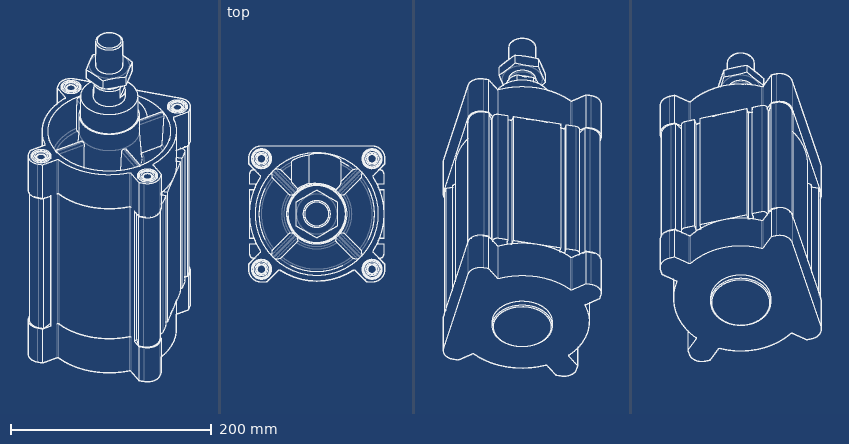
import cadquery as cq
import math

boss_length = 6.5
cap_height = 44.5
barrel_length = 170.0
rear_cap_bottom = boss_length
barrel_bottom = rear_cap_bottom + cap_height
front_cap_bottom = barrel_bottom + barrel_length
front_cap_top = front_cap_bottom + cap_height
collar_step_z = 287.2
collar_top = 312.0
flats_bottom = 320.0
shoulder_z = 331.5
neck_taper_bottom = 333.5
thread_start = 337.3
nut_bottom = 339.5
nut_height = 12.7
rod_tip = 385.0

cap_shell_radius = 67.0
barrel_shell_radius = 66.5
shell_corner_fillet = 1.0
cap_width = 136.0
barrel_width = 134.0
cap_half_width = cap_width / 2
barrel_half_width = barrel_width / 2
screw_offset = 55.0
lobe_radius = cap_half_width - screw_offset
lobe_diagonal_offset = 18.0
flange_depth = 17.5

groove_mouth_outer = 49.3
groove_tip = (44.5, 57.8)
groove_mouth_inner = 43.0

rail_face_x = 67.0
rail_half_width = 44.3
rail_corner_radius = 4.5
slot_inner_y = 24.3
slot_outer_y = 29.5
slot_floor_x = 61.2

recess_rim_radius = 61.2
recess_depth = 38.5
rim_draft = math.radians(6)
collar_draft = math.radians(4)
recess_fillet = 2.5
collar_radius = 30.0
rib_drop = 1.0
rib_top_half = 2.7
rib_base_half = 5.8
rib_crest_fillet = 2.5
collar_tip_base_radius = 29.0
collar_tip_top_radius = 28.5
boss_chamfer = 1.0

port_bosses = [(8.0, 244.0, 32.0), (-12.7, 235.0, 25.0)]

screw_recess_diameter = 20.0
screw_head_diameter = 18.5
screw_head_chamfer = 1.0
screw_recess_depth = 3.0
countersink_top_diameter = 12.7
countersink_bottom_diameter = 10.0
countersink_depth = 1.35
screw_hole_diameter = 8.5
screw_hole_depth = 15.5

rod_diameter = 32.0
thread_diameter = 27.0
neck_diameter = 25.0
rod_flats = 27.0
tip_chamfer = 1.5
nut_flats = 41.2
nut_chamfer_radius = 20.0
nut_chamfer_angle = math.radians(15)

quadrants = [(sx, sy) for sx in (-1, 1) for sy in (-1, 1)]


def disc(radius, bottom, top):
    return cq.Workplane("XY").workplane(offset=bottom).circle(radius).extrude(top - bottom)


def cone(bottom_radius, top_radius, bottom, top):
    """Truncated cone on the Z axis."""
    return cq.Workplane("XY").add(
        cq.Solid.makeCone(bottom_radius, top_radius, top - bottom, cq.Vector(0, 0, bottom))
    )


def is_near_axis(edge, radius):
    """True for an upright edge that lies on the shell radius or closer to the Z axis."""
    center = edge.Center()
    return math.hypot(center.x, center.y) < radius + shell_corner_fillet


def lobed_section(half_width, shell_radius, bottom, top):
    """Round shell with four diagonal lobes whose ends follow a rounded square."""
    height = top - bottom
    band_width = math.sqrt(2) * lobe_diagonal_offset
    level = cq.Workplane("XY").workplane(offset=bottom)
    bands = level.transformed(rotate=(0, 0, 45)).rect(4 * half_width, band_width).extrude(height)
    bands = bands.union(bands.rotate((0, 0, 0), (0, 0, 1), 90))
    square = level.rect(2 * half_width, 2 * half_width).extrude(height).edges("|Z").fillet(lobe_radius)
    section = bands.intersect(square).union(disc(shell_radius, bottom, top))
    shell_corners = section.edges("|Z").filter(lambda edge: is_near_axis(edge, shell_radius))
    return shell_corners.fillet(shell_corner_fillet)


def make_barrel():
    bottom, top = barrel_bottom, front_cap_bottom
    level = cq.Workplane("XY").workplane(offset=bottom)
    barrel = lobed_section(barrel_half_width, barrel_shell_radius, bottom, top)

    groove = [
        (groove_mouth_outer, groove_mouth_outer + lobe_diagonal_offset),
        groove_tip,
        (groove_mouth_inner, groove_mouth_inner + lobe_diagonal_offset),
    ]
    for sx, sy in quadrants:
        beside_y = [(sx * u, sy * v) for u, v in groove]
        beside_x = [(sx * v, sy * u) for u, v in groove]
        barrel = barrel.cut(level.polyline(beside_y).close().extrude(barrel_length))
        barrel = barrel.cut(level.polyline(beside_x).close().extrude(barrel_length))

    rails = level.rect(2 * rail_face_x, 2 * rail_half_width).extrude(barrel_length)
    barrel = barrel.union(rails.edges("|Z").fillet(rail_corner_radius))

    slot_depth = rail_face_x - slot_floor_x
    slot_width = slot_outer_y - slot_inner_y
    slot_x = slot_floor_x + slot_depth / 2
    slot_y = slot_inner_y + slot_width / 2
    slot_centers = [(sx * slot_x, sy * slot_y) for sx, sy in quadrants]
    slots = level.pushPoints(slot_centers).rect(slot_depth, slot_width).extrude(barrel_length)
    return barrel.cut(slots)


def make_cap(bottom):
    """Lobed cap with a straight flange along its +Y side."""
    top = bottom + cap_height
    flange = (
        cq.Workplane("XY")
        .workplane(offset=bottom)
        .center(0, cap_half_width - flange_depth / 2)
        .rect(2 * screw_offset, flange_depth)
        .extrude(cap_height)
    )
    return lobed_section(cap_half_width, cap_shell_radius, bottom, top).union(flange)


def make_recess():
    """Drafted ring-shaped pocket between the rim and the collar, with rounded floor edges."""
    floor_z = front_cap_top - recess_depth
    rim_shift = recess_depth * math.tan(rim_draft)
    collar_shift = recess_depth * math.tan(collar_draft)
    ring = (
        cq.Workplane("XZ")
        .polyline(
            [
                (collar_radius, front_cap_top),
                (recess_rim_radius, front_cap_top),
                (recess_rim_radius - rim_shift, floor_z),
                (collar_radius + collar_shift, floor_z),
            ]
        )
        .close()
        .revolve(360, (0, 0, 0), (0, 1, 0))
    )
    return ring.faces("<Z").edges("%CIRCLE").fillet(recess_fillet)


def make_ribs():
    """Four tapered radial ribs with rounded crests, on the diagonals."""
    floor_z = front_cap_top - recess_depth
    crest_z = front_cap_top - rib_drop
    rib = (
        cq.Workplane("YZ")
        .moveTo(-rib_base_half, floor_z)
        .lineTo(-rib_top_half, crest_z)
        .lineTo(rib_top_half, crest_z)
        .lineTo(rib_base_half, floor_z)
        .close()
        .extrude(recess_rim_radius)
        .faces(">Z")
        .edges("|X")
        .fillet(rib_crest_fillet)
    )
    ribs = cq.Workplane("XY")
    for quarter in range(4):
        ribs = ribs.union(rib.rotate((0, 0, 0), (0, 0, 1), 45 + 90 * quarter))
    return ribs


def make_port_bosses():
    bosses = cq.Workplane("XY")
    for x, z, diameter in port_bosses:
        boss = cq.Workplane("XZ").center(x, z).circle(diameter / 2).extrude(-recess_rim_radius)
        bosses = bosses.union(boss)
    return bosses


def make_collar():
    base = disc(collar_radius, front_cap_top, collar_step_z)
    tip = cone(collar_tip_base_radius, collar_tip_top_radius, collar_step_z, collar_top)
    return base.union(tip)


def make_screw_cut():
    """Space around one chamfered screw head on the Z axis, and its countersunk centre hole."""
    top = front_cap_top
    gap_bottom = top - screw_recess_depth
    head = disc(screw_head_diameter / 2, gap_bottom, top).faces(">Z").edges().chamfer(screw_head_chamfer)
    gap = disc(screw_recess_diameter / 2, gap_bottom, top).cut(head)
    countersink = cone(
        countersink_bottom_diameter / 2, countersink_top_diameter / 2, top - countersink_depth, top
    )
    hole = disc(screw_hole_diameter / 2, top - screw_hole_depth, top)
    return gap.union(countersink).union(hole)


def make_housing():
    pocket = make_recess().cut(make_ribs()).cut(make_port_bosses())
    boss = disc(collar_radius, 0, boss_length).faces("<Z").edges().chamfer(boss_chamfer)
    body = (
        make_barrel()
        .union(make_cap(rear_cap_bottom))
        .union(make_cap(front_cap_bottom))
        .union(boss)
        .cut(pocket)
        .union(make_collar())
        .cut(disc(rod_diameter / 2, front_cap_bottom, collar_top))
    )
    screw_cut = make_screw_cut()
    for sx, sy in quadrants:
        body = body.cut(screw_cut.translate((sx * screw_offset, sy * screw_offset, 0)))
    return body


def make_rod():
    rod = disc(rod_diameter / 2, front_cap_bottom, shoulder_z)
    for side in (-1, 1):
        waste = cq.Workplane("XY").box(rod_diameter, 2 * rod_diameter, shoulder_z - flats_bottom)
        offset_x = side * (rod_flats + rod_diameter) / 2
        rod = rod.cut(waste.translate((offset_x, 0, (flats_bottom + shoulder_z) / 2)))
    neck = disc(neck_diameter / 2, shoulder_z, neck_taper_bottom)
    taper = cone(neck_diameter / 2, thread_diameter / 2, neck_taper_bottom, thread_start)
    thread = disc(thread_diameter / 2, thread_start, rod_tip).faces(">Z").edges().chamfer(tip_chamfer)
    return rod.union(neck).union(taper).union(thread)


def make_nut():
    """Hexagon nut with flats facing X and its corners chamfered at both ends."""
    across_corners = nut_flats / math.cos(math.radians(30))
    nut = (
        cq.Workplane("XY")
        .workplane(offset=nut_bottom)
        .transformed(rotate=(0, 0, 90))
        .polygon(6, across_corners)
        .extrude(nut_height)
    )
    outer_radius = across_corners / 2
    chamfer_height = (outer_radius - nut_chamfer_radius) * math.tan(nut_chamfer_angle)
    top = nut_bottom + nut_height
    envelope = (
        cq.Workplane("XZ")
        .polyline(
            [
                (0, nut_bottom),
                (nut_chamfer_radius, nut_bottom),
                (outer_radius, nut_bottom + chamfer_height),
                (outer_radius, top - chamfer_height),
                (nut_chamfer_radius, top),
                (0, top),
            ]
        )
        .close()
        .revolve(360, (0, 0, 0), (0, 1, 0))
    )
    return nut.intersect(envelope).cut(disc(thread_diameter / 2, nut_bottom, top))


housing = make_housing()
rod = make_rod()
nut = make_nut()

result = cq.Compound.makeCompound([housing.val(), rod.val(), nut.val()])